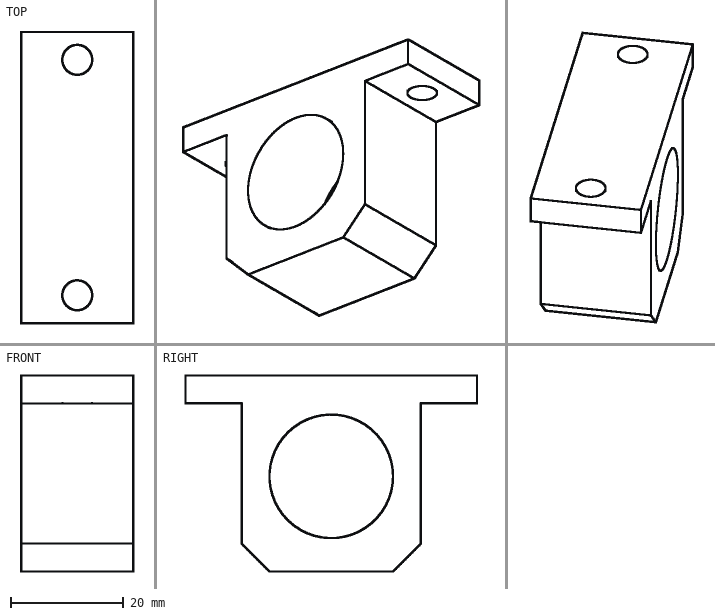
import cadquery as cq

depth = 20.0
flange_length = 52.0
flange_thickness = 5.0
total_height = 35.0
bore_diameter = 22.0
side_wall = 5.0
bore_to_top = 18.0
corner_chamfer = 5.0
screw_hole_diameter = 5.3

block_width = bore_diameter + 2 * side_wall
block_height = total_height - flange_thickness
top_z = bore_to_top
flange_bottom_z = top_z - flange_thickness
bottom_z = top_z - total_height
flange_overhang = (flange_length - block_width) / 2
screw_hole_y = (flange_length - flange_overhang) / 2


def make_block():
    """Bearing block with chamfered lower corners."""
    return (
        cq.Workplane("XY")
        .workplane(offset=bottom_z)
        .box(depth, block_width, block_height, centered=(True, True, False))
        .faces("<Z")
        .edges("|X")
        .chamfer(corner_chamfer)
    )


def make_flange():
    """Mounting flange with one screw hole in each overhang."""
    flange = (
        cq.Workplane("XY")
        .workplane(offset=flange_bottom_z)
        .box(depth, flange_length, flange_thickness, centered=(True, True, False))
    )
    return (
        flange.faces(">Z")
        .workplane(origin=(0, 0, top_z))
        .pushPoints([(0, -screw_hole_y), (0, screw_hole_y)])
        .hole(screw_hole_diameter)
    )


def make_bore():
    """Cylinder that clears the bore through the whole depth."""
    return (
        cq.Workplane("YZ")
        .workplane(offset=-depth / 2)
        .circle(bore_diameter / 2)
        .extrude(depth)
    )


result = make_block().union(make_flange()).cut(make_bore())